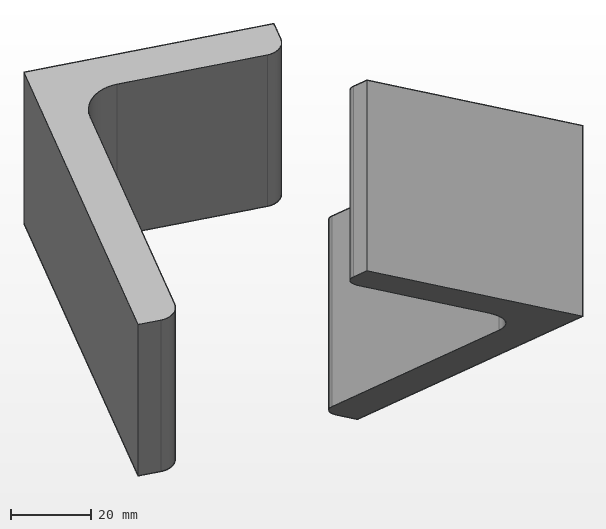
import cadquery as cq

long_leg = 100.0
short_leg = 65.0
length = 50.0
thickness = 11.0
root_radius = 10.0
toe_radius = 5.0


def angle_blank():
    """Sharp-cornered L section with its heel at the origin."""
    outline = [
        (0, 0),
        (long_leg, 0),
        (long_leg, thickness),
        (thickness, thickness),
        (thickness, short_leg),
        (0, short_leg),
    ]
    return cq.Workplane("XY").polyline(outline).close().extrude(length)


def round_edge(body, x, y, radius):
    """Round the vertical edge that passes through (x, y)."""
    nearest = cq.selectors.NearestToPointSelector((x, y, length / 2))
    return body.edges("|Z").edges(nearest).fillet(radius)


result = angle_blank()
result = round_edge(result, thickness, thickness, root_radius)
result = round_edge(result, long_leg, thickness, toe_radius)
result = round_edge(result, thickness, short_leg, toe_radius)